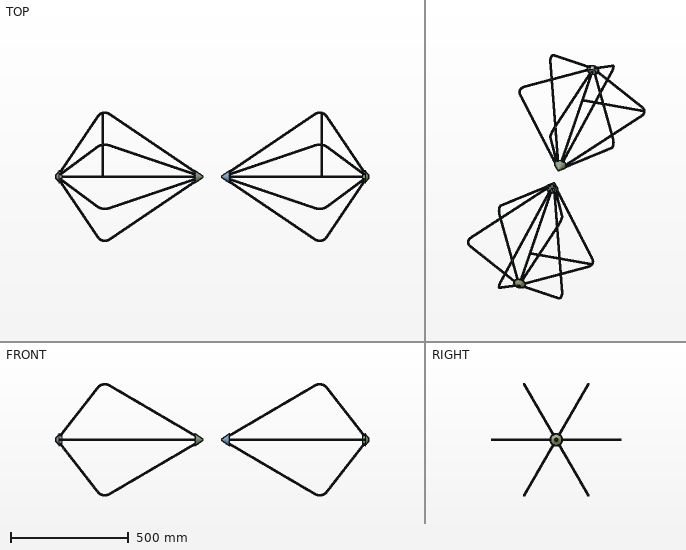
import cadquery as cq
import math

rod_diameter = 6.4
rod_radius = rod_diameter / 2
spoke_count = 6

feed_tip_x = 39.0
feed_base_x = 73.0
feed_tip_radius = 3.0
feed_base_radius = 27.0

cage_end_x = 664.0
hub_rim_x = 649.0
hub_inner_x = 636.0
hub_inner_radius = 16.0
hub_rim_radius = 27.0
hub_cone_radius = 24.0
hub_end_radius = 7.0
hub_hole_diameter = 6.4
hub_hole_depth = 13.0

rod_start = cq.Vector(66.0, 16.0)
rod_corner = cq.Vector(465.0, 285.0)
rod_end = cq.Vector(647.0, 16.0)
bend_radius = 36.0

shorting_x = rod_corner.x

toward_start = (rod_start - rod_corner).normalized()
toward_end = (rod_end - rod_corner).normalized()
bisector = (toward_start + toward_end).normalized()
half_angle = toward_start.getAngle(toward_end) / 2
tangent_length = bend_radius / math.tan(half_angle)
bend_center = rod_corner + bisector * (bend_radius / math.sin(half_angle))
bend_start = rod_corner + toward_start * tangent_length
bend_middle = bend_center - bisector * bend_radius
bend_end = rod_corner + toward_end * tangent_length
bend_offset = shorting_x - bend_center.x
shorting_length = bend_center.y + math.sqrt(bend_radius**2 - bend_offset**2)


def make_revolved(profile):
    """Revolve a closed (x, radius) profile about the X axis."""
    outline = cq.Workplane("XY").polyline(profile).close()
    return outline.revolve(360, (0, 0, 0), (1, 0, 0))


def make_feed_cone():
    return make_revolved([
        (feed_tip_x, 0),
        (feed_tip_x, feed_tip_radius),
        (feed_base_x, feed_base_radius),
        (feed_base_x, 0),
    ])


def make_end_hub():
    return make_revolved([
        (hub_inner_x, 0),
        (hub_inner_x, hub_inner_radius),
        (hub_rim_x, hub_rim_radius),
        (hub_rim_x, hub_cone_radius),
        (cage_end_x, hub_end_radius),
        (cage_end_x, 0),
    ])


def make_hub_hole():
    """Blind axial hole in the outer face of the end hub."""
    mouth = cq.Workplane("YZ", origin=(cage_end_x, 0, 0))
    return mouth.circle(hub_hole_diameter / 2).extrude(-hub_hole_depth)


def make_bent_rod():
    """Bent rod in the XY plane on the +Y side."""
    path = (
        cq.Workplane("XY")
        .moveTo(rod_start.x, rod_start.y)
        .lineTo(bend_start.x, bend_start.y)
        .threePointArc(bend_middle.toTuple()[:2], bend_end.toTuple()[:2])
        .lineTo(rod_end.x, rod_end.y)
    )
    section_plane = cq.Plane(origin=rod_start, normal=rod_corner - rod_start)
    return cq.Workplane(section_plane).circle(rod_radius).sweep(path)


def make_axis_rod():
    length = hub_rim_x - feed_base_x
    return cq.Workplane("YZ", origin=(feed_base_x, 0, 0)).circle(rod_radius).extrude(length)


def make_shorting_rod():
    base = cq.Workplane(cq.Plane(origin=(shorting_x, 0, 0), normal=(0, 1, 0)))
    return base.circle(rod_radius).extrude(shorting_length)


def make_cage():
    """One complete cage on the +X side."""
    cage = make_feed_cone().union(make_axis_rod()).union(make_end_hub())
    bent_rod = make_bent_rod()
    for index in range(spoke_count):
        angle = index * 360 / spoke_count
        cage = cage.union(bent_rod.rotate((0, 0, 0), (1, 0, 0), angle))
    cage = cage.union(make_shorting_rod())
    return cage.cut(make_hub_hole())


right_cage = make_cage().solids()
left_cage = right_cage.mirror("YZ").solids()

result = cq.Compound.makeCompound([right_cage.val(), left_cage.val()])